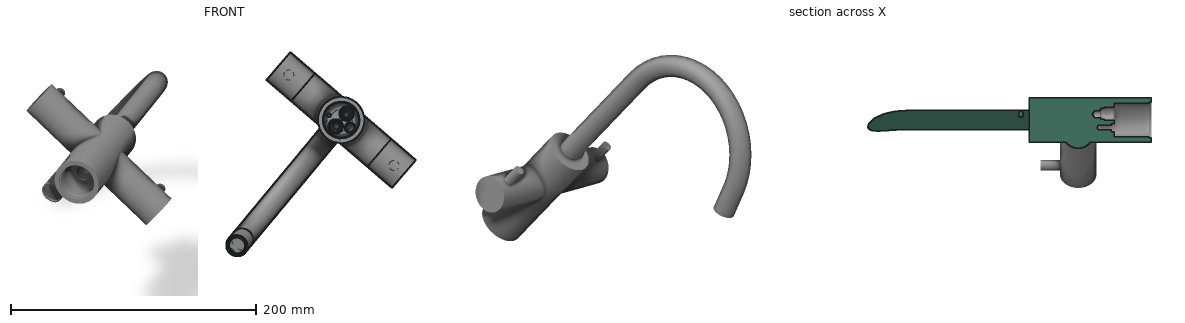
import cadquery as cq
import math

overall_length = 273.4
tap_turn = 40.7
spout_swivel = -1.0

housing_radius = 18.9
housing_length = 100.0
bore_radius = 14.2
bore_depth = 30.0
rebate_radius = 15.0
rebate_depth = 2.2

arm_radius = 15.0
arm_height = 60.0
arm_length = 41.0
knob_length = 26.5
lever_radius = 4.0
lever_reach = 31.0
lever_seat_depth = 4.0
lever_offset = 56.5

spout_radius = 9.0
spout_straight = 99.5
spout_bend_radius = overall_length - housing_length - spout_straight - spout_radius
spout_bend_angle = 161.5
nozzle_length = 22.0

aerator_radius = 7.0
aerator_length = 5.5
aerator_chamfer = 0.5
nozzle_mouth_chamfer = 0.8

screw_radius = 1.6
screw_length = 4.0
screw_recess = 0.8
screw_height = 6.5
socket_width = 1.5
socket_depth = 1.6

drill_point_angle = 118.0
inlet_offset = 6.8
inlet_mouth_radius = 6.0
inlet_mouth_chamfer = 0.8
inlet_depth = 8.2
inlet_pilot_radius = 4.5
inlet_pilot_depth = 11.0
passage_offset = 6.3
passage_radius = 2.7
passage_depth = 16.5
stud_offset = 9.5
stud_mouth_radius = 4.5
stud_mouth_depth = 2.7
stud_radius = 3.5
stud_depth = 13.7
locator_x = -10.0
locator_z = -3.5
locator_radius = 1.6
locator_depth = 5.5

ORIGIN = cq.Vector(0, 0, 0)
X_AXIS = cq.Vector(1, 0, 0)
Y_AXIS = cq.Vector(0, 1, 0)
Z_AXIS = cq.Vector(0, 0, 1)
SIDES = (-1, 1)


def rod(radius, length, start, direction):
    return cq.Workplane(cq.Solid.makeCylinder(radius, length, start, direction))


def cone(start_radius, end_radius, length, start, direction):
    return cq.Workplane(cq.Solid.makeCone(start_radius, end_radius, length, start, direction))


def floor_point(x, z):
    return cq.Vector(x, bore_depth, z)


def drilled_hole(radius, depth, x, z):
    """Hole into the bore floor that ends in a drill point."""
    point_length = radius / math.tan(math.radians(drill_point_angle / 2))
    point_start = floor_point(x, z) + Y_AXIS * depth
    point = cone(radius, 0, point_length, point_start, Y_AXIS)
    return rod(radius, depth, floor_point(x, z), Y_AXIS).union(point)


def inlet_hole(side):
    """Chamfered hose inlet with a pilot hole and an inner passage nearer the axis."""
    z = side * inlet_offset
    inlet_radius = inlet_mouth_radius - inlet_mouth_chamfer
    mouth = cone(inlet_mouth_radius, inlet_radius, inlet_mouth_chamfer, floor_point(0, z), Y_AXIS)
    inlet = rod(inlet_radius, inlet_depth, floor_point(0, z), Y_AXIS)
    pilot = drilled_hole(inlet_pilot_radius, inlet_pilot_depth, 0, z)
    passage = drilled_hole(passage_radius, passage_depth, 0, side * passage_offset)
    return inlet.union(mouth).union(pilot).union(passage)


def stud_hole():
    mouth = rod(stud_mouth_radius, stud_mouth_depth, floor_point(stud_offset, 0), Y_AXIS)
    return drilled_hole(stud_radius, stud_depth, stud_offset, 0).union(mouth)


def make_housing():
    arms = rod(arm_radius, 2 * arm_length, cq.Vector(-arm_length, arm_height, 0), X_AXIS)
    housing = rod(housing_radius, housing_length, ORIGIN, Y_AXIS).union(arms)
    housing = housing.cut(rod(bore_radius, bore_depth, ORIGIN, Y_AXIS))
    housing = housing.cut(rod(rebate_radius, rebate_depth, ORIGIN, Y_AXIS))
    for side in SIDES:
        housing = housing.cut(inlet_hole(side))
    housing = housing.cut(stud_hole())
    return housing.cut(drilled_hole(locator_radius, locator_depth, locator_x, locator_z))


def make_lever(side):
    foot_height = arm_radius - lever_seat_depth
    foot = cq.Vector(side * lever_offset, arm_height + foot_height, 0)
    return rod(lever_radius, lever_reach - foot_height, foot, Y_AXIS)


def make_knob(side):
    start = cq.Vector(side * arm_length, arm_height, 0)
    return rod(arm_radius, knob_length, start, X_AXIS * side).cut(make_lever(side))


bend = math.radians(spout_bend_angle)
bend_start = cq.Vector(0, housing_length + spout_straight, 0)
bend_end = bend_start + cq.Vector(0, math.sin(bend), math.cos(bend) - 1) * spout_bend_radius
nozzle_direction = cq.Vector(0, math.cos(bend), -math.sin(bend))
nozzle_end = bend_end + nozzle_direction * nozzle_length
aerator_face = nozzle_end - nozzle_direction * nozzle_mouth_chamfer

screw_foot = cq.Vector(0, housing_length + screw_height, spout_radius - screw_recess - screw_length)


def make_screw():
    screw = rod(screw_radius, screw_length, screw_foot, Z_AXIS)
    socket_diameter = socket_width / math.cos(math.pi / 6)
    return screw.faces(">Z").workplane().polygon(6, socket_diameter).cutBlind(-socket_depth)


def make_spout():
    straight = rod(spout_radius, spout_straight, cq.Vector(0, housing_length, 0), Y_AXIS)
    curve = (
        cq.Workplane("XZ", origin=bend_start.toTuple())
        .circle(spout_radius)
        .revolve(spout_bend_angle, (0, -spout_bend_radius, 0), (-1, -spout_bend_radius, 0))
    )
    screw_hole = rod(screw_radius, screw_length + spout_radius, screw_foot, Z_AXIS)
    return straight.union(curve).cut(screw_hole)


def make_aerator():
    face_radius = aerator_radius - aerator_chamfer
    rim_start = aerator_face - nozzle_direction * aerator_chamfer
    rim = cone(aerator_radius, face_radius, aerator_chamfer, rim_start, nozzle_direction)
    barrel_length = aerator_length - aerator_chamfer
    return rod(aerator_radius, barrel_length, rim_start, nozzle_direction * -1).union(rim)


def make_nozzle():
    inward = nozzle_direction * -1
    mouth_radius = aerator_radius + nozzle_mouth_chamfer
    mouth = cone(mouth_radius, aerator_radius, nozzle_mouth_chamfer, nozzle_end, inward)
    nozzle = rod(spout_radius, nozzle_length, bend_end, nozzle_direction).cut(mouth)
    return nozzle.cut(rod(aerator_radius, aerator_length, aerator_face, inward))


def turned(body, angle):
    return body.rotate((0, 0, 0), (0, 1, 0), angle).val()


housing = turned(make_housing(), tap_turn)
knobs = [turned(make_knob(side), tap_turn) for side in SIDES]
levers = [turned(make_lever(side), tap_turn) for side in SIDES]

spout_turn = tap_turn + spout_swivel
spout = turned(make_spout(), spout_turn)
screw = turned(make_screw(), spout_turn)
nozzle = turned(make_nozzle(), spout_turn)
aerator = turned(make_aerator(), spout_turn)

result = cq.Compound.makeCompound([housing, *knobs, *levers, spout, screw, nozzle, aerator])